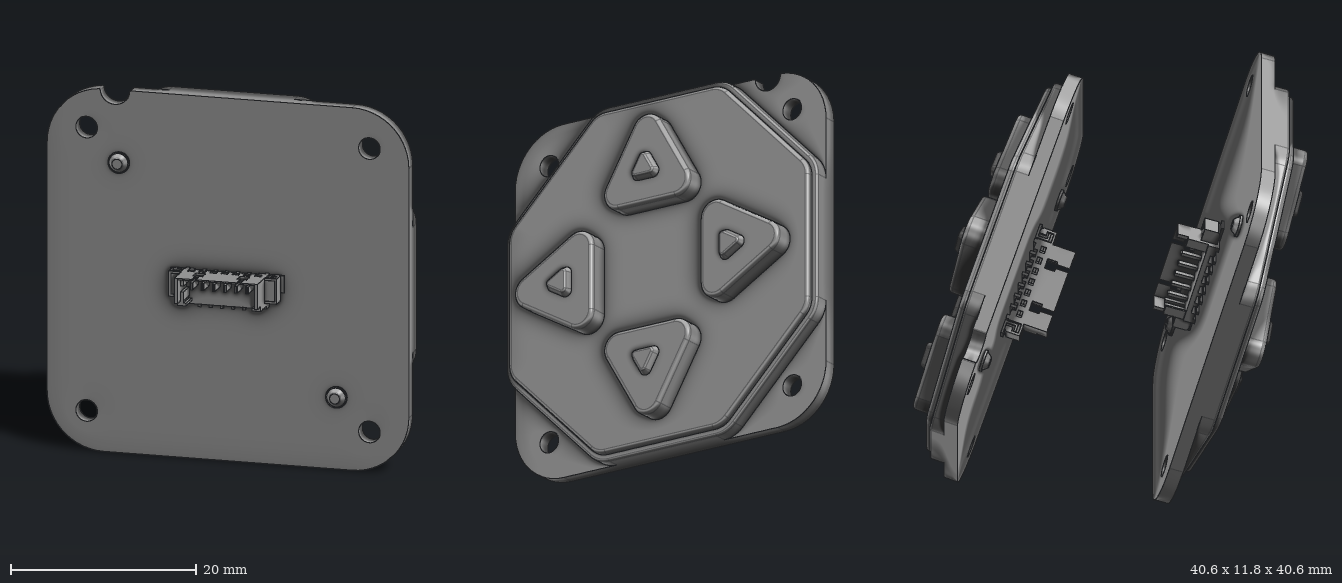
import cadquery as cq
import math


BOARD_SIZE = 40.64
BOARD_THICKNESS = 1.55
BOARD_CORNER_RADIUS = 6.35
SCREW_HOLE_OFFSET = 15.875
SCREW_HOLE_DIAMETER = 2.4
NOTCH_X = -12.7
NOTCH_RADIUS = 1.65
NOTCH_LIP_RADIUS = 0.15

PAD_CORNER_CUT = 11.87
PAD_CORNER_RADIUS = 3.4
PAD_TOP_Y = 3.22
PAD_EDGE_FILLET = 0.25
DECK_INSET = 0.71
DECK_TOP_Y = 3.92
DECK_EDGE_FILLET = 0.4

BUTTON_BASE_DISTANCE = 7.03
BUTTON_TIP_DISTANCE = 17.24
BUTTON_CORNER_RADIUS = 1.9
BUTTON_TOP_Y = 6.3
BUTTON_EDGE_FILLET = 0.45

MARK_BASE_DISTANCE = 9.7
MARK_TIP_DISTANCE = 12.86
MARK_CORNER_RADIUS = 0.75
MARK_TOP_Y = 7.09
MARK_TAPER = 26
MARK_EDGE_FILLET = 0.25

KNOB_OFFSET = 12.22
KNOB_FLANGE_RADIUS = 1.18
KNOB_FLANGE_HEIGHT = 0.27
KNOB_CONE_RADIUS = 1.05
KNOB_TIP_RADIUS = 0.66
KNOB_HEIGHT = 0.85
KNOB_TIP_CHAMFER = 0.1

PIN_COUNT = 6
PIN_PITCH = 1.25
HOUSING_HALF_WIDTH = 4.68
HOUSING_TOP_Z = 1.06
HOUSING_GAP = 0.27
HOUSING_DEPTH = 4.7
BLOCK_DEPTH = 1.26
BLOCK_BOTTOM_Z = -2.63
WALL_BOTTOM_Z = -1.76
SIDE_WALL = 0.38
TOP_WALL_AT_MOUTH = 0.15
TOP_WALL_AT_FLOOR = 0.3
FOOT_WIDTH = 0.45
HOOK_DEPTH = 3.52
HOOK_BOTTOM_Z = -2.3
HOOK_STEP_Z = -2.0
HOOK_POST_X = 4.0
HOOK_TIP_X = 3.7
RIB_WIDTH = 0.32
UPPER_RIB_Z = (-0.1, 0.55)
LOWER_RIB_Z = (WALL_BOTTOM_Z, -0.75)

SLOT_X = 2.51
SLOT_WINDOW_X = (1.95, 3.01)
SLOT_WINDOW_DEPTH = (2.09, 3.21)
SLOT_SLIT_WIDTH = 0.41

POCKET_WIDTH = 0.7
POCKET_RAMP_WIDTH = 0.25
POCKET_DEPTHS = (0.98, 1.53)
POCKET_SINK = 0.2

CHANNEL_WIDTH = 0.85
CHANNEL_DEPTH = 0.7
PIN_WIDTH = 0.32
PIN_FOOT_END_Z = -3.2
PIN_RISER_Z = (0.0, 0.9)
PIN_BLADE_Z = (-0.45, 0.33)
PIN_BLADE_DEPTH = 3.5
PIN_TIP_CHAMFER = 0.1

EAR_OUTER_X = 6.07
EAR_BOTTOM_Z = WALL_BOTTOM_Z
EAR_DEPTHS = (0.27, 2.07)
EAR_RIM = 0.25
EAR_CHAMFER = 0.25
EAR_RECESS = 0.1
EAR_CHANNEL_SINK = 0.5
EAR_CHANNEL_X = (4.75, 5.4)
EAR_CHANNEL_END_X = 5.8
EAR_CHANNEL_DEPTHS = (1.05, 1.8)
TAB_THICKNESS = 0.25
TAB_FOOT_END_X = 6.36
TAB_INNER_X = 4.85
TAB_RETURN_DEPTH = 1.5
TAB_RETURN_END_X = 5.75
TAB_Z = (-0.97, 0.95)


def box(x_range, depth_range, z_range):
    """Box between two X values, two depths in front of the board and two Z values."""
    x_low, x_high = sorted(x_range)
    near, far = depth_range
    z_low, z_high = z_range
    size = (x_high - x_low, far - near, z_high - z_low)
    return cq.Workplane("XY").box(*size, centered=False).translate((x_low, -far, z_low))


def plane_at(y):
    """Workplane parallel to the board whose extrusions run toward +Y."""
    return cq.Workplane(cq.Plane(origin=(0, y, 0), xDir=(-1, 0, 0), normal=(0, 1, 0)))


def make_board():
    board = plane_at(0).rect(BOARD_SIZE, BOARD_SIZE).extrude(BOARD_THICKNESS)
    board = board.edges("|Y").fillet(BOARD_CORNER_RADIUS)
    hole_spacing = 2 * SCREW_HOLE_OFFSET
    holes = plane_at(0).rect(hole_spacing, hole_spacing, forConstruction=True).vertices()
    board = board.cut(holes.circle(SCREW_HOLE_DIAMETER / 2).extrude(BOARD_THICKNESS))
    notch = plane_at(0).center(-NOTCH_X, BOARD_SIZE / 2).circle(NOTCH_RADIUS)
    board = board.cut(notch.extrude(BOARD_THICKNESS))
    lip_reach = NOTCH_RADIUS + NOTCH_LIP_RADIUS
    lips = cq.selectors.BoxSelector(
        (NOTCH_X - lip_reach, 0, BOARD_SIZE / 2 - NOTCH_LIP_RADIUS),
        (NOTCH_X + lip_reach, BOARD_THICKNESS, BOARD_SIZE / 2 + NOTCH_LIP_RADIUS),
    )
    return board.edges("|Y").edges(lips).fillet(NOTCH_LIP_RADIUS)


def pad_layer(bottom_y, top_y, inset, edge_fillet):
    """Layer of the keypad base, with its outline moved inward by the inset."""
    size = BOARD_SIZE - 2 * inset
    corner_cut = PAD_CORNER_CUT - inset * (2 - math.sqrt(2))
    layer = plane_at(bottom_y).rect(size, size).extrude(top_y - bottom_y)
    layer = layer.edges("|Y").chamfer(corner_cut)
    layer = layer.edges("|Y").fillet(PAD_CORNER_RADIUS - inset)
    return layer.faces(">Y").edges().fillet(edge_fillet)


def arrow(bottom_y, base, tip, radius):
    """Sketch of a triangle pointing to +Z whose rounded outline spans base to tip."""
    height = tip + radius - base
    half_side = height / math.sqrt(3)
    corners = [(-half_side, base), (half_side, base), (0, base + height)]
    outline = cq.Sketch().polygon(corners + corners[:1]).vertices().fillet(radius)
    return plane_at(bottom_y).placeSketch(outline)


def make_button():
    button = arrow(DECK_TOP_Y, BUTTON_BASE_DISTANCE, BUTTON_TIP_DISTANCE, BUTTON_CORNER_RADIUS)
    button = button.extrude(BUTTON_TOP_Y - DECK_TOP_Y)
    button = button.faces(">Y").edges().fillet(BUTTON_EDGE_FILLET)
    mark = arrow(BUTTON_TOP_Y, MARK_BASE_DISTANCE, MARK_TIP_DISTANCE, MARK_CORNER_RADIUS)
    mark = mark.extrude(MARK_TOP_Y - BUTTON_TOP_Y, taper=MARK_TAPER)
    mark = mark.faces(">Y").edges().fillet(MARK_EDGE_FILLET)
    return button.union(mark)


def make_keypad():
    keypad = pad_layer(BOARD_THICKNESS, PAD_TOP_Y, 0, PAD_EDGE_FILLET)
    keypad = keypad.union(pad_layer(PAD_TOP_Y, DECK_TOP_Y, DECK_INSET, DECK_EDGE_FILLET))
    button = make_button()
    for angle in (0, 90, 180, 270):
        keypad = keypad.union(button.rotate((0, 0, 0), (0, 1, 0), angle))
    return keypad


def make_knob(x, z):
    profile = [
        (0, 0),
        (KNOB_FLANGE_RADIUS, 0),
        (KNOB_FLANGE_RADIUS, -KNOB_FLANGE_HEIGHT),
        (KNOB_CONE_RADIUS, -KNOB_FLANGE_HEIGHT),
        (KNOB_TIP_RADIUS, KNOB_TIP_CHAMFER - KNOB_HEIGHT),
        (KNOB_TIP_RADIUS - KNOB_TIP_CHAMFER, -KNOB_HEIGHT),
        (0, -KNOB_HEIGHT),
    ]
    knob = cq.Workplane("XY").polyline(profile).close().revolve(360, (0, 0), (0, 1))
    return knob.translate((x, 0, z))


def make_top_wall():
    """Wall above the cavity; its underside slopes, so it thins toward the mouth."""
    outline = [
        (-BLOCK_DEPTH, HOUSING_TOP_Z),
        (-HOUSING_DEPTH, HOUSING_TOP_Z),
        (-HOUSING_DEPTH, HOUSING_TOP_Z - TOP_WALL_AT_MOUTH),
        (-BLOCK_DEPTH, HOUSING_TOP_Z - TOP_WALL_AT_FLOOR),
    ]
    wall = cq.Workplane("YZ").polyline(outline).close()
    return wall.extrude(HOUSING_HALF_WIDTH, both=True)


def make_housing():
    full_width = (-HOUSING_HALF_WIDTH, HOUSING_HALF_WIDTH)
    inner_x = HOUSING_HALF_WIDTH - SIDE_WALL
    housing = box(full_width, (HOUSING_GAP, BLOCK_DEPTH), (BLOCK_BOTTOM_Z, HOUSING_TOP_Z))
    shell_depths = (BLOCK_DEPTH, HOUSING_DEPTH)
    housing = housing.union(make_top_wall())
    hook_depths = (BLOCK_DEPTH, HOOK_DEPTH)
    for side in (-1, 1):
        outer_x = side * HOUSING_HALF_WIDTH
        wall_x = (outer_x, side * inner_x)
        rib_x = (outer_x, side * (inner_x - RIB_WIDTH))
        foot_x = (outer_x, side * (HOUSING_HALF_WIDTH - FOOT_WIDTH))
        post_x = (outer_x, side * HOOK_POST_X)
        tip_x = (outer_x, side * HOOK_TIP_X)
        pieces = [
            box(wall_x, shell_depths, (WALL_BOTTOM_Z, HOUSING_TOP_Z)),
            box(rib_x, hook_depths, UPPER_RIB_Z),
            box(rib_x, hook_depths, LOWER_RIB_Z),
            box(foot_x, (0, HOUSING_GAP), (BLOCK_BOTTOM_Z, HOUSING_TOP_Z)),
            box(post_x, hook_depths, (HOOK_BOTTOM_Z, WALL_BOTTOM_Z)),
            box(tip_x, hook_depths, (HOOK_BOTTOM_Z, HOOK_STEP_Z)),
        ]
        for piece in pieces:
            housing = housing.union(piece)
    return housing


def cut_keyhole_slots(housing):
    wall_z = (HOUSING_TOP_Z - TOP_WALL_AT_FLOOR, HOUSING_TOP_Z)
    slit_depths = (SLOT_WINDOW_DEPTH[0], HOUSING_DEPTH)
    for side in (-1, 1):
        window_x = [side * x for x in SLOT_WINDOW_X]
        slit_middle = side * SLOT_X
        slit_x = (slit_middle - SLOT_SLIT_WIDTH / 2, slit_middle + SLOT_SLIT_WIDTH / 2)
        housing = housing.cut(box(window_x, SLOT_WINDOW_DEPTH, wall_z))
        housing = housing.cut(box(slit_x, slit_depths, wall_z))
    return housing


def cut_top_pockets(housing):
    """One pocket on either side of every pin, ramped on its -X side."""
    near, far = POCKET_DEPTHS
    for index in range(PIN_COUNT + 1):
        left = (index - PIN_COUNT / 2) * PIN_PITCH - POCKET_WIDTH / 2
        right = left + POCKET_WIDTH
        floor_z = HOUSING_TOP_Z - POCKET_SINK
        ramp_end = (left + POCKET_RAMP_WIDTH, floor_z)
        outline = [(left, HOUSING_TOP_Z), ramp_end, (right, floor_z), (right, HOUSING_TOP_Z)]
        pocket = cq.Workplane("XZ", origin=(0, -near, 0)).polyline(outline).close()
        housing = housing.cut(pocket.extrude(far - near))
    return housing


def add_pins(housing):
    foot_z = (PIN_FOOT_END_Z, PIN_RISER_Z[1])
    block_z = (BLOCK_BOTTOM_Z, HOUSING_TOP_Z)
    for index in range(PIN_COUNT):
        x = (index - (PIN_COUNT - 1) / 2) * PIN_PITCH
        channel_x = (x - CHANNEL_WIDTH / 2, x + CHANNEL_WIDTH / 2)
        pin_x = (x - PIN_WIDTH / 2, x + PIN_WIDTH / 2)
        housing = housing.cut(box(channel_x, (HOUSING_GAP, CHANNEL_DEPTH), block_z))
        housing = housing.union(box(pin_x, (0, HOUSING_GAP), foot_z))
        housing = housing.union(box(pin_x, (0, CHANNEL_DEPTH), PIN_RISER_Z))
        blade = box(pin_x, (BLOCK_DEPTH, PIN_BLADE_DEPTH), PIN_BLADE_Z)
        housing = housing.union(blade.faces("<Y").edges("|Z").chamfer(PIN_TIP_CHAMFER))
    return housing


def make_ear():
    """Ear on the +X side with its solder tab, bent like a U that opens outward."""
    outer_x = (HOUSING_HALF_WIDTH, EAR_OUTER_X)
    ear = box(outer_x, EAR_DEPTHS, (EAR_BOTTOM_Z, HOUSING_TOP_Z))
    ear = ear.edges("|Z and >X and >Y").chamfer(EAR_CHAMFER)

    recess_x = (HOUSING_HALF_WIDTH, EAR_OUTER_X - EAR_RIM)
    recess_depths = (EAR_DEPTHS[1] - EAR_RECESS, EAR_DEPTHS[1])
    recess_z = (EAR_BOTTOM_Z + EAR_RIM, HOUSING_TOP_Z - EAR_RIM)
    ear = ear.cut(box(recess_x, recess_depths, recess_z))

    channel_z = (HOUSING_TOP_Z - EAR_CHANNEL_SINK, HOUSING_TOP_Z)
    upright_depths = (EAR_DEPTHS[0], EAR_CHANNEL_DEPTHS[1])
    return_x = (EAR_CHANNEL_X[0], EAR_CHANNEL_END_X)
    ear = ear.cut(box(EAR_CHANNEL_X, upright_depths, channel_z))
    ear = ear.cut(box(return_x, EAR_CHANNEL_DEPTHS, channel_z))

    foot = box((TAB_INNER_X, TAB_FOOT_END_X), (0, TAB_THICKNESS), TAB_Z)
    upright = box((TAB_INNER_X, TAB_INNER_X + TAB_THICKNESS), (0, TAB_RETURN_DEPTH), TAB_Z)
    return_depths = (TAB_RETURN_DEPTH - TAB_THICKNESS, TAB_RETURN_DEPTH)
    tab_return = box((TAB_INNER_X, TAB_RETURN_END_X), return_depths, TAB_Z)
    return ear.union(foot).union(upright).union(tab_return)


def make_connector():
    connector = make_housing()
    connector = cut_keyhole_slots(connector)
    connector = cut_top_pockets(connector)
    connector = add_pins(connector)
    ear = make_ear()
    return connector.union(ear).union(ear.mirror("YZ"))


result = make_board().union(make_keypad())
result = result.union(make_knob(-KNOB_OFFSET, KNOB_OFFSET))
result = result.union(make_knob(KNOB_OFFSET, -KNOB_OFFSET))
result = result.union(make_connector())